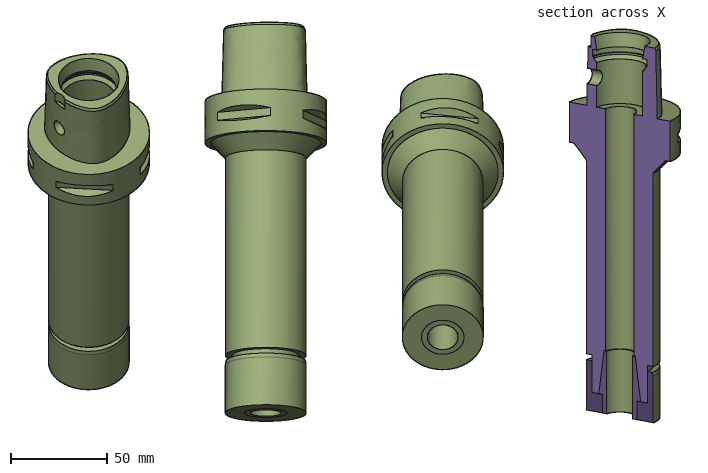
import cadquery as cq
import math

SHANK_HEIGHT = 38.0
FLANGE_HEIGHT = 22.0
CONE_HEIGHT = 8.0
TOOL_LENGTH = 165.0
NUT_LENGTH = 27.4
NECK_GAP = 3.0
COLLET_LENGTH = 34.0
COLLET_NOSE_LENGTH = 10.0

FLANGE_BOTTOM = -FLANGE_HEIGHT
CONE_BOTTOM = FLANGE_BOTTOM - CONE_HEIGHT
NUT_BOTTOM = -TOOL_LENGTH
NUT_TOP = NUT_BOTTOM + NUT_LENGTH
BODY_BOTTOM = NUT_TOP + NECK_GAP
COLLET_TOP = NUT_BOTTOM + COLLET_LENGTH
NECK_BOTTOM = NUT_BOTTOM + COLLET_NOSE_LENGTH

FLANGE_RADIUS = 31.5
CONE_TOP_RADIUS = 28.7
BODY_RADIUS = 20.9
NECK_RADIUS = 17.5

SHANK_MEAN_RADIUS = 22.15
LOBE_COUNT = 3
SHANK_LOBE_HEIGHT = 1.45
SHANK_TAPER = 1 / 40
OUTLINE_POINTS = 24
SHANK_CHAMFER_HEIGHT = 1.3
SHANK_CHAMFER_INSET = 0.7

MOUTH_RADIUS = 15.7
BORE_RADIUS = 14.2
MOUTH_DEPTH = 7.3
UNDERCUT_RADIUS = 16.9
UNDERCUT_DEPTH = 10.9
STEP_RADIUS = 16.2
STEP_DEPTH = 12.0
STEP_CONE_DEPTH = 13.9
BORE_DEPTH = SHANK_HEIGHT
CHANNEL_RADIUS = 8.75

CROSS_HOLE_RADIUS = 4.1
CROSS_HOLE_HEIGHT = 15.8
NOTCH_DEPTH = 6.2
NOTCH_RADIUS = 6.0
NOTCH_FLOOR_Y = -18.05

SLOT_COUNT = 4
SLOT_START_ANGLE = 45.0
SLOT_CENTRE_Z = -11.9
SLOT_FLOOR_DISTANCE = 27.75
SLOT_FLOOR_WIDTH = 4.2
SLOT_MOUTH_WIDTH = 7.8

COLLET_BORE_RADIUS = 8.0
COLLET_SEAT_RADIUS = 13.0
COLLET_NOSE_RADIUS = 11.0
COLLET_TAPER_ANGLE = 8.0
COLLET_TOP_RADIUS = COLLET_SEAT_RADIUS - (COLLET_TOP - NECK_BOTTOM) * math.tan(
    math.radians(COLLET_TAPER_ANGLE)
)
NUT_RADIUS = 21.0
NUT_TAPER_HEIGHT = 2.1
NUT_TAPER_INSET = 0.3


def revolve_profile(points):
    """Turn a closed outline of (radius, height) points about the Z axis."""
    return cq.Workplane("XZ").polyline(points).close().revolve(360, (0, 0), (0, 1))


def shank_outline(mean_radius, z):
    """Constant-width three-lobed curve whose support distance is mean + lobe height * cos(3t)."""

    def point(turn):
        t = 2 * math.pi * turn
        support = mean_radius + SHANK_LOBE_HEIGHT * math.cos(LOBE_COUNT * t)
        slope = -LOBE_COUNT * SHANK_LOBE_HEIGHT * math.sin(LOBE_COUNT * t)
        along_lobe = support * math.cos(t) - slope * math.sin(t)
        across_lobe = support * math.sin(t) + slope * math.cos(t)
        return (-across_lobe, along_lobe, z)

    points = [cq.Vector(*point(i / OUTLINE_POINTS)) for i in range(OUTLINE_POINTS)]
    return cq.Wire.assembleEdges([cq.Edge.makeSpline(points, periodic=True)])


def make_shank():
    chamfer_z = SHANK_HEIGHT - SHANK_CHAMFER_HEIGHT
    chamfer_radius = SHANK_MEAN_RADIUS - SHANK_TAPER * chamfer_z
    base = shank_outline(SHANK_MEAN_RADIUS, 0)
    shoulder = shank_outline(chamfer_radius, chamfer_z)
    tip = shank_outline(chamfer_radius - SHANK_CHAMFER_INSET, SHANK_HEIGHT)
    cone = cq.Solid.makeLoft([base, shoulder], True)
    chamfer = cq.Solid.makeLoft([shoulder, tip], True)
    return cq.Workplane(cone).union(cq.Workplane(chamfer))


def make_turned_body():
    return revolve_profile([
        (0, 0),
        (FLANGE_RADIUS, 0),
        (FLANGE_RADIUS, FLANGE_BOTTOM),
        (CONE_TOP_RADIUS, FLANGE_BOTTOM),
        (BODY_RADIUS, CONE_BOTTOM),
        (BODY_RADIUS, BODY_BOTTOM),
        (NECK_RADIUS, BODY_BOTTOM),
        (NECK_RADIUS, NECK_BOTTOM),
        (0, NECK_BOTTOM),
    ])


def make_holder_bore():
    """Tapered mouth, undercut with a step below it, main bore, coolant channel and collet seat."""
    bore_floor = SHANK_HEIGHT - BORE_DEPTH
    return revolve_profile([
        (0, SHANK_HEIGHT),
        (MOUTH_RADIUS, SHANK_HEIGHT),
        (BORE_RADIUS, SHANK_HEIGHT - MOUTH_DEPTH),
        (UNDERCUT_RADIUS, SHANK_HEIGHT - MOUTH_DEPTH),
        (UNDERCUT_RADIUS, SHANK_HEIGHT - UNDERCUT_DEPTH),
        (STEP_RADIUS, SHANK_HEIGHT - UNDERCUT_DEPTH),
        (STEP_RADIUS, SHANK_HEIGHT - STEP_DEPTH),
        (BORE_RADIUS, SHANK_HEIGHT - STEP_CONE_DEPTH),
        (BORE_RADIUS, bore_floor),
        (CHANNEL_RADIUS, bore_floor),
        (CHANNEL_RADIUS, COLLET_TOP),
        (COLLET_TOP_RADIUS, COLLET_TOP),
        (COLLET_SEAT_RADIUS, NECK_BOTTOM),
        (0, NECK_BOTTOM),
    ])


def make_cross_hole():
    """Radial hole from the -Y side into the bore."""
    return (
        cq.Workplane("XZ", origin=(0, 0, CROSS_HOLE_HEIGHT))
        .circle(CROSS_HOLE_RADIUS)
        .extrude(FLANGE_RADIUS)
    )


def make_notch():
    """Shallow upright round-backed notch in the shank's upper rim."""
    return (
        cq.Workplane("XY", origin=(0, NOTCH_FLOOR_Y - NOTCH_RADIUS, SHANK_HEIGHT - NOTCH_DEPTH))
        .circle(NOTCH_RADIUS)
        .extrude(NOTCH_DEPTH)
    )


def make_gripper_slot(angle):
    """Straight slot with a flat floor and walls that spread outward."""
    half_floor = SLOT_FLOOR_WIDTH / 2
    half_mouth = SLOT_MOUTH_WIDTH / 2
    return (
        cq.Workplane("XZ")
        .moveTo(SLOT_FLOOR_DISTANCE, SLOT_CENTRE_Z - half_floor)
        .lineTo(FLANGE_RADIUS, SLOT_CENTRE_Z - half_mouth)
        .lineTo(FLANGE_RADIUS, SLOT_CENTRE_Z + half_mouth)
        .lineTo(SLOT_FLOOR_DISTANCE, SLOT_CENTRE_Z + half_floor)
        .close()
        .extrude(FLANGE_RADIUS, both=True)
        .rotate((0, 0, 0), (0, 0, 1), angle)
    )


def make_holder():
    holder = make_turned_body().union(make_shank())
    holder = holder.cut(make_holder_bore()).cut(make_cross_hole()).cut(make_notch())
    for i in range(SLOT_COUNT):
        holder = holder.cut(make_gripper_slot(SLOT_START_ANGLE + i * 360 / SLOT_COUNT))
    return holder


def make_collet():
    """Tapered sleeve seated in the holder, with a straight nose through the nut."""
    return revolve_profile([
        (COLLET_BORE_RADIUS, COLLET_TOP),
        (COLLET_TOP_RADIUS, COLLET_TOP),
        (COLLET_SEAT_RADIUS, NECK_BOTTOM),
        (COLLET_NOSE_RADIUS, NECK_BOTTOM),
        (COLLET_NOSE_RADIUS, NUT_BOTTOM),
        (COLLET_BORE_RADIUS, NUT_BOTTOM),
    ])


def make_nut():
    """Cap around the holder's neck, with a lip that retains the collet."""
    return revolve_profile([
        (NECK_RADIUS, NUT_TOP),
        (NUT_RADIUS - NUT_TAPER_INSET, NUT_TOP),
        (NUT_RADIUS, NUT_TOP - NUT_TAPER_HEIGHT),
        (NUT_RADIUS, NUT_BOTTOM),
        (COLLET_NOSE_RADIUS, NUT_BOTTOM),
        (COLLET_NOSE_RADIUS, NECK_BOTTOM),
        (NECK_RADIUS, NECK_BOTTOM),
    ])


holder = make_holder()
collet = make_collet()
nut = make_nut()

result = cq.Compound.makeCompound([holder.val(), collet.val(), nut.val()])